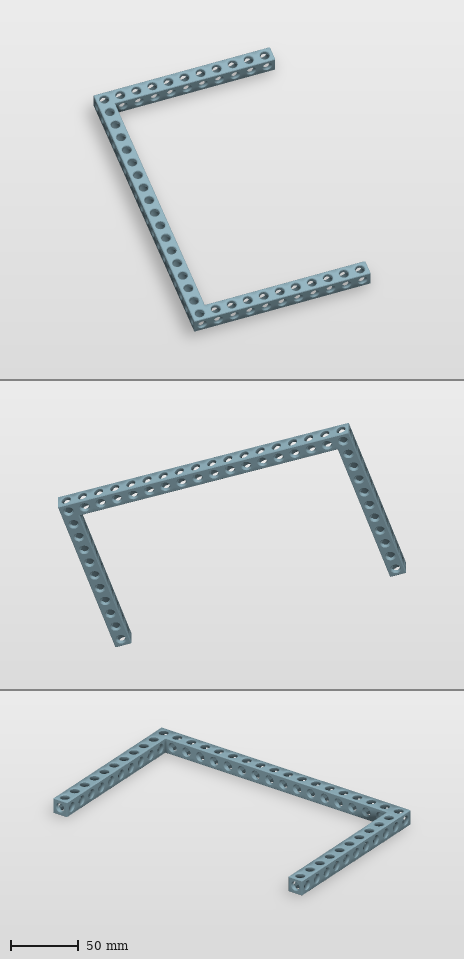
import cadquery as cq
import math

base_length = 225.0
holes_along_base = 18
holes_along_arm = 11
bore_diameter = 7.0
top_mouth_diameter = 9.2
edge_chamfer = 0.5
side_mouth_chamfer = 0.34
bevel_height = 0.11

pitch = base_length / holes_along_base
arm_length = pitch * holes_along_arm
half_pitch = pitch / 2
bore_radius = bore_diameter / 2

bevel_width = (top_mouth_diameter - bore_diameter) / 2 - edge_chamfer

base_positions = [(i + 0.5) * pitch for i in range(holes_along_base)]
arm_positions = [(i + 0.5) * pitch for i in range(holes_along_arm)]
arm_centres = (base_positions[0], base_positions[-1])


def make_frame():
    """U-shaped beam, open towards +Y, with chamfered edges and a bevelled top."""
    outline = [
        (0, 0),
        (base_length, 0),
        (base_length, arm_length),
        (base_length - pitch, arm_length),
        (base_length - pitch, pitch),
        (pitch, pitch),
        (pitch, arm_length),
        (0, arm_length),
    ]
    body = cq.Workplane("XY").polyline(outline).close().extrude(pitch - bevel_height)
    arm_end_edges = body.faces(">Y").edges("|Z")
    body = body.faces("<Z or >Z").edges().add(arm_end_edges).chamfer(edge_chamfer)
    bevel_taper = math.degrees(math.atan2(bevel_width, bevel_height))
    return body.faces(">Z").wires().toPending().extrude(bevel_height, taper=bevel_taper)


def revolved_cutter(profile):
    """Cutter along +Z from (radius, height) points, closed along its axis."""
    points = [(0, profile[0][1])] + profile + [(0, profile[-1][1])]
    return cq.Workplane("XZ").polyline(points).close().revolve(360, (0, 0), (0, 1)).val()


def side_cutter(length):
    """Horizontal bore, drawn along +Z, with a chamfer at both mouths."""
    mouth_radius = bore_radius + side_mouth_chamfer
    return revolved_cutter([
        (mouth_radius, 0),
        (bore_radius, side_mouth_chamfer),
        (bore_radius, length - side_mouth_chamfer),
        (mouth_radius, length),
    ])


def vertical_bores():
    """One bore per cell along Z, chamfered below, chamfered and bevelled above."""
    chamfer_radius = bore_radius + edge_chamfer
    bevel_start = pitch - bevel_height
    cutter = revolved_cutter([
        (chamfer_radius, 0),
        (bore_radius, edge_chamfer),
        (bore_radius, bevel_start - edge_chamfer),
        (chamfer_radius, bevel_start),
        (top_mouth_diameter / 2, pitch),
    ])
    centres = [(x, half_pitch) for x in base_positions]
    centres += [(x, y) for x in arm_centres for y in arm_positions[1:]]
    return [cutter.translate(cq.Vector(x, y, 0)) for x, y in centres]


def bores_along_y():
    """Bores through the base; the outer two run the whole length of the arms."""
    bores = []
    for x in base_positions:
        length = arm_length if x in arm_centres else pitch
        cutter = side_cutter(length).rotate(cq.Vector(), cq.Vector(1, 0, 0), -90)
        bores.append(cutter.translate(cq.Vector(x, 0, half_pitch)))
    return bores


def bores_along_x():
    """One bore the whole length of the base, then one through each arm per cell."""
    bores = []
    for y in arm_positions:
        along_base = y == arm_positions[0]
        length = base_length if along_base else pitch
        starts = [0] if along_base else [0, base_length - pitch]
        cutter = side_cutter(length).rotate(cq.Vector(), cq.Vector(0, 1, 0), 90)
        bores += [cutter.translate(cq.Vector(x, y, half_pitch)) for x in starts]
    return bores


result = make_frame()
for bores in (vertical_bores(), bores_along_y(), bores_along_x()):
    result = result.cut(cq.Workplane(cq.Compound.makeCompound(bores)))